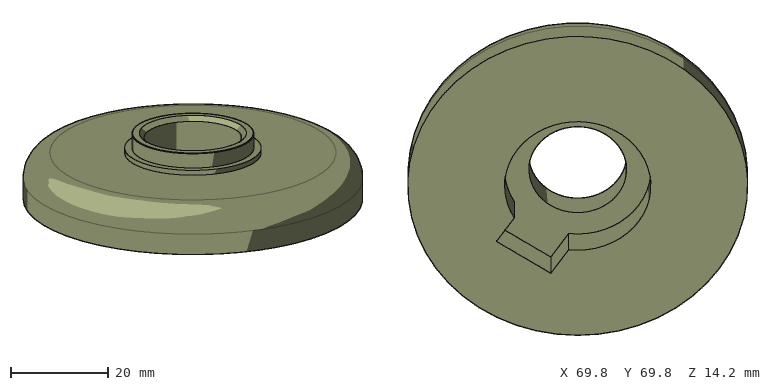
import cadquery as cq

plate_diameter = 69.75
plate_height = 10.0
rim_height = 4.45
rim_radius = plate_height - rim_height

flange_diameter = 28.05
flange_height = 1.05
collar_diameter = 25.05
collar_edge_break = 0.15
total_height = 14.2
collar_height = total_height - plate_height - flange_height

bore_diameter = 20.0
mouth_chamfer = 1.0

recess_depth = 7.0
recess_diameter = 30.0
slot_width = 13.4
slot_end = 20.0


def make_plate():
    disc = cq.Workplane("XY").circle(plate_diameter / 2).extrude(plate_height)
    return disc.faces(">Z").edges().fillet(rim_radius)


def add_hub(body):
    flanged = body.faces(">Z").workplane().circle(flange_diameter / 2).extrude(flange_height)
    collared = flanged.faces(">Z").workplane().circle(collar_diameter / 2).extrude(collar_height)
    return collared.faces(">Z").edges().chamfer(collar_edge_break)


def cut_bore(body):
    bored = body.faces(">Z").workplane().hole(bore_diameter)
    bore_mouth = cq.selectors.RadiusNthSelector(0)
    return bored.faces(">Z").edges(bore_mouth).chamfer(mouth_chamfer)


def cut_recess(body):
    counterbore = cq.Workplane("XY").circle(recess_diameter / 2).extrude(recess_depth)
    slot = (
        cq.Workplane("XY")
        .center(0, slot_end / 2)
        .rect(slot_width, slot_end)
        .extrude(recess_depth)
    )
    return body.cut(counterbore.union(slot))


plate = make_plate()
plate_with_hub = add_hub(plate)
bored_plate = cut_bore(plate_with_hub)
result = cut_recess(bored_plate)